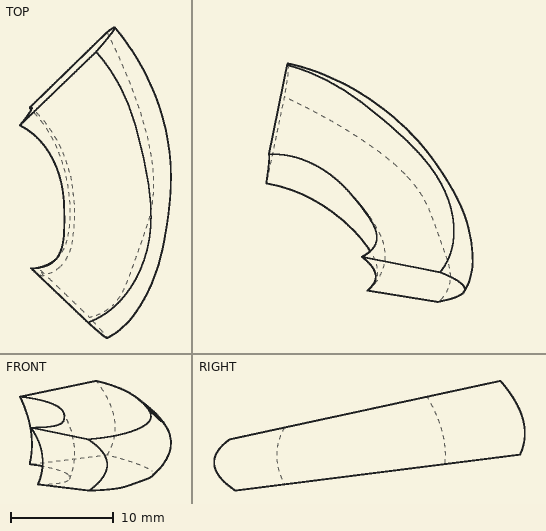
import cadquery as cq
import math

BOTTOM = (-0.25, 7.2)
MIDDLE = (2.27, 8)
TOP = (4.7, 12.2)

FRONT_END = (8.65, -0.98, -0.13)
BACK_END = (21.8, 0.99, -0.12)

BOTTOM_OUTLINE = {
    "front_x": (1.75, 6.75),
    "back_x": (0.95, 8.48),
    "outer": [(9.4, 3.63), (11.15, 7.57), (12.8, 12.72), (11.95, 21.2)],
    "inner": [(3.18, 19.38), (4.55, 15.45), (4.85, 11.5), (3.95, 8.18)],
}
MIDDLE_OUTLINE = {
    "front_x": (2.2, 8.48),
    "back_x": (1.12, 9.25),
    "outer": [(10.45, 1.5), (11.72, 3.25), (14.32, 11.3), (14.72, 15.62), (12.93, 24.28)],
    "inner": [(3.48, 19.38), (5.0, 15.45), (5.3, 11.5), (4.4, 7.57)],
}
TOP_OUTLINE = {
    "front_x": (1.05, 6.63),
    "back_x": (0, 7.42),
    "outer": [(8.9, 2.82), (12.57, 9.48), (12.72, 13.17), (11.9, 18.17), (10.65, 22.47)],
    "inner": [(2.42, 18.65), (4.0, 15.2), (4.33, 11.5), (3.55, 7.72)],
}


def on_level(level, x, y):
    """Point of a sloped level above the plan position (x, y)."""
    height, angle = level
    return cq.Vector(x, y, height + y * math.tan(math.radians(angle)))


def on_end(level, end, x):
    """Point at x on the line where a sloped level meets an end plane."""
    height, angle = level
    rise = math.tan(math.radians(angle))
    offset, x_slope, z_slope = end
    y = (offset + x_slope * x + z_slope * height) / (1 - z_slope * rise)
    return on_level(level, x, y)


def outline(level, shape):
    """Closed outline of the segment in one sloped level."""
    front_inner, front_outer = [on_end(level, FRONT_END, x) for x in shape["front_x"]]
    back_inner, back_outer = [on_end(level, BACK_END, x) for x in shape["back_x"]]
    outer = [on_level(level, x, y) for x, y in shape["outer"]]
    inner = [on_level(level, x, y) for x, y in shape["inner"]]
    return cq.Wire.assembleEdges([
        cq.Edge.makeLine(front_inner, front_outer),
        cq.Edge.makeSpline([front_outer, *outer, back_outer]),
        cq.Edge.makeLine(back_outer, back_inner),
        cq.Edge.makeSpline([back_inner, *inner, front_inner]),
    ])


outlines = [
    outline(BOTTOM, BOTTOM_OUTLINE),
    outline(MIDDLE, MIDDLE_OUTLINE),
    outline(TOP, TOP_OUTLINE),
]
result = cq.Workplane(cq.Solid.makeLoft(outlines))